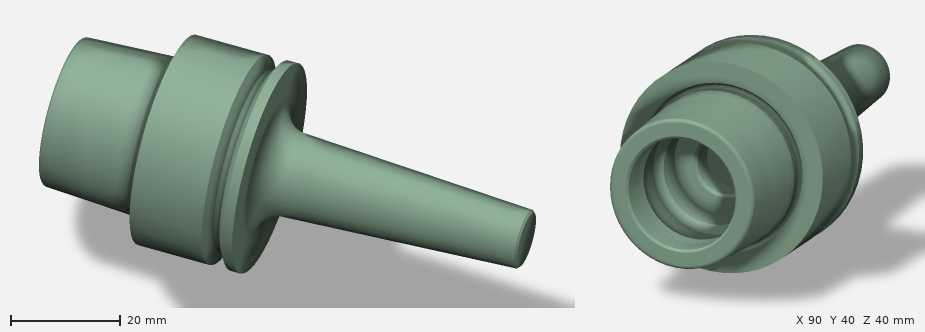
import cadquery as cq

LENGTH = 90.0
FLANGE_RADIUS = 20.0

SHANK_FACE_RADIUS = 13.5
SHANK_SMALL_RADIUS = 14.2
SHANK_LARGE_RADIUS = 15.1
SHANK_NECK_RADIUS = 14.85
SHANK_EDGE_ROUND = SHANK_SMALL_RADIUS - SHANK_FACE_RADIUS
TAPER_END = 18.0
NECK_START = 18.7

FLANGE_START = 20.0
FLANGE_END = 2 * FLANGE_START
GROOVE_START = 34.0
GROOVE_WALL_START = 35.1
GROOVE_FLOOR_START = 35.4
GROOVE_FLOOR_END = 36.7
GROOVE_END = 38.0
GROOVE_FLOOR_RADIUS = 17.5
GROOVE_WALL_RADIUS = 18.0

NOSE_FILLET = 4.9
NOSE_BASE_RADIUS = 7.9
NOSE_TIP_RADIUS = 5.6
NOSE_TIP_CHAMFER = 0.45

RELIEF_RADIUS = 15.5
RELIEF_DEPTH = 0.7
RELIEF_FILLET = 0.5
RELIEF_CHAMFER = 0.5

BORE_RADIUS = 10.5
BORE_CHAMFER = 0.45
BORE_STRAIGHT_END = 7.9
UNDERCUT_RADIUS = 11.3
UNDERCUT_END = 14.85
BORE_FLOOR_RADIUS = 9.9
BORE_DEPTH = 21.6
PILOT_RADIUS = 5.6
PILOT_CHAMFER = 0.5
PILOT_DEPTH = 27.0


def revolve_about_x(profile):
    return profile.close().revolve(360, (0, 0, 0), (1, 0, 0))


def turned_body():
    nose_start = FLANGE_END + NOSE_FILLET
    round_offset = SHANK_EDGE_ROUND * (1 - 0.5**0.5)
    fillet_offset = NOSE_FILLET * (1 - 0.5**0.5)
    return revolve_about_x(
        cq.Workplane("XY")
        .lineTo(0, SHANK_FACE_RADIUS)
        .threePointArc(
            (round_offset, SHANK_SMALL_RADIUS - round_offset),
            (SHANK_EDGE_ROUND, SHANK_SMALL_RADIUS),
        )
        .lineTo(TAPER_END, SHANK_LARGE_RADIUS)
        .lineTo(NECK_START, SHANK_NECK_RADIUS)
        .lineTo(FLANGE_START, SHANK_NECK_RADIUS)
        .lineTo(FLANGE_START, FLANGE_RADIUS)
        .lineTo(GROOVE_START, FLANGE_RADIUS)
        .lineTo(GROOVE_WALL_START, GROOVE_WALL_RADIUS)
        .lineTo(GROOVE_FLOOR_START, GROOVE_FLOOR_RADIUS)
        .lineTo(GROOVE_FLOOR_END, GROOVE_FLOOR_RADIUS)
        .lineTo(GROOVE_FLOOR_END, GROOVE_WALL_RADIUS)
        .lineTo(GROOVE_END, FLANGE_RADIUS)
        .lineTo(FLANGE_END, FLANGE_RADIUS)
        .lineTo(FLANGE_END, NOSE_BASE_RADIUS + NOSE_FILLET)
        .threePointArc(
            (FLANGE_END + fillet_offset, NOSE_BASE_RADIUS + fillet_offset),
            (nose_start, NOSE_BASE_RADIUS),
        )
        .lineTo(LENGTH - NOSE_TIP_CHAMFER, NOSE_TIP_RADIUS)
        .lineTo(LENGTH, NOSE_TIP_RADIUS - NOSE_TIP_CHAMFER)
        .lineTo(LENGTH, 0)
    )


def face_relief():
    floor = FLANGE_START + RELIEF_DEPTH
    fillet_start = floor - RELIEF_FILLET
    fillet_rise = RELIEF_FILLET * (1 - 0.5**0.5)
    fillet_run = RELIEF_FILLET * 0.5**0.5
    return revolve_about_x(
        cq.Workplane("XY")
        .moveTo(FLANGE_START, SHANK_NECK_RADIUS)
        .lineTo(fillet_start, SHANK_NECK_RADIUS)
        .threePointArc(
            (fillet_start + fillet_run, SHANK_NECK_RADIUS + fillet_rise),
            (floor, SHANK_NECK_RADIUS + RELIEF_FILLET),
        )
        .lineTo(floor, RELIEF_RADIUS)
        .lineTo(FLANGE_START, RELIEF_RADIUS + RELIEF_CHAMFER)
    )


def stepped_bore():
    return revolve_about_x(
        cq.Workplane("XY")
        .lineTo(0, BORE_RADIUS + BORE_CHAMFER)
        .lineTo(BORE_CHAMFER, BORE_RADIUS)
        .lineTo(BORE_STRAIGHT_END, BORE_RADIUS)
        .lineTo(BORE_STRAIGHT_END + UNDERCUT_RADIUS - BORE_RADIUS, UNDERCUT_RADIUS)
        .lineTo(UNDERCUT_END, UNDERCUT_RADIUS)
        .lineTo(UNDERCUT_END + UNDERCUT_RADIUS - BORE_FLOOR_RADIUS, BORE_FLOOR_RADIUS)
        .lineTo(BORE_DEPTH, BORE_FLOOR_RADIUS)
        .lineTo(BORE_DEPTH, PILOT_RADIUS + PILOT_CHAMFER)
        .lineTo(BORE_DEPTH + PILOT_CHAMFER, PILOT_RADIUS)
        .lineTo(PILOT_DEPTH, PILOT_RADIUS)
        .lineTo(PILOT_DEPTH, 0)
    )


result = turned_body().cut(face_relief()).cut(stepped_bore())